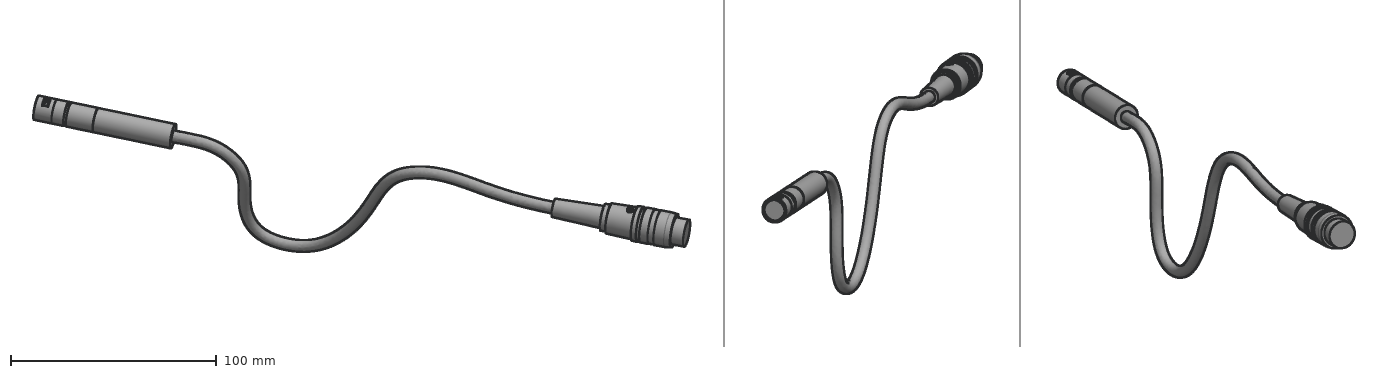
import cadquery as cq
import math

OVERALL_LENGTH = 327.8

PROBE_DIA = 12.0
PROBE_LENGTH = 68.8
TIP_LENGTH = 9.2
FACE_RECESS_DIA = 10.0
FACE_RECESS_DEPTH = 0.3
COLLAR_GROOVE_START = 15.0
COLLAR_GROOVE_WIDTH = 1.3
COLLAR_GROOVE_DIA = 11.0
SCORE_LINE_START = 29.8
SCORE_LINE_WIDTH = 0.15
SCORE_LINE_DIA = 11.8

WINDOW_CENTER_X = 5.0
WINDOW_LENGTH = 3.0
WINDOW_WIDTH = 5.0
WINDOW_DEPTH = 1.3
WINDOW_LEDGE = 0.5
WINDOW_STEP_DEPTH = 1.0

CABLE_DIA = 6.0

PLUG_START_Z = 6.0
PLUG_TILT = 1.5
BOOT_START_DIA = 9.2
BOOT_END_DIA = 11.0
BOOT_LENGTH = 25.0
NECK_DIA = 13.5
NECK_END = 28.0
BACK_SHELL_START_DIA = 15.0
BACK_SHELL_END_DIA = 16.0
BACK_SHELL_END = 41.0
SLEEVE_DIA = 17.5
RING_END = 43.5
RING_GROOVE_END = 45.2
RING_GROOVE_DIA = 16.0
GRIP_BAND_START = 49.5
GRIP_BAND_END = 52.5
GRIP_BAND_DIA = 17.0
SLEEVE_TAPER_START = 57.7
SLEEVE_END = 60.5
SLEEVE_END_DIA = 16.7
NOSE_DIA = 13.5
NOSE_END = 67.0

DOT_DIA = 3.0
DOT_DIMPLE_DIA = 1.48
DOT_CENTER = 38.5
DOT_HEIGHT = 0.3
DOT_ROLL = -7

TILT_RADIANS = math.radians(PLUG_TILT)
NOSE_REACH = NOSE_END * math.cos(TILT_RADIANS) + NOSE_DIA / 2 * math.sin(TILT_RADIANS)
PLUG_START_X = OVERALL_LENGTH - NOSE_REACH

CABLE_POINTS = [
    (PROBE_LENGTH, 0),
    (90.0, -1.5),
    (102.3, -12.8),
    (105.0, -37.7),
    (112.5, -58.0),
    (132.8, -61.5),
    (153.7, -46.5),
    (168.8, -18.5),
    (182.5, 6.0),
    (200.0, 12.8),
    (227.8, 9.0),
    (PLUG_START_X, PLUG_START_Z),
]


def turned(stations):
    """Solid of revolution about X from (position, diameter) stations."""
    outline = [(position, diameter / 2) for position, diameter in stations]
    closed_outline = [(stations[0][0], 0)] + outline + [(stations[-1][0], 0)]
    return cq.Workplane("XY").polyline(closed_outline).close().revolve(360, (0, 0, 0), (1, 0, 0))


def on_plug_axis(body):
    """Move a body turned about X onto the tilted axis of the plug."""
    tilted = body.rotate((0, 0, 0), (0, 1, 0), -PLUG_TILT)
    return tilted.translate((PLUG_START_X, 0, PLUG_START_Z))


def window_cut(length, width, depth):
    """Rectangular cutter that reaches a depth below the top of the probe."""
    floor_z = PROBE_DIA / 2 - depth
    return cq.Workplane("XY", origin=(WINDOW_CENTER_X, 0, floor_z)).rect(length, width).extrude(PROBE_DIA)


def make_tip():
    tip = turned([
        (FACE_RECESS_DEPTH, FACE_RECESS_DIA),
        (0, FACE_RECESS_DIA),
        (0, PROBE_DIA),
        (TIP_LENGTH, PROBE_DIA),
    ])
    opening = window_cut(WINDOW_LENGTH, WINDOW_WIDTH, WINDOW_DEPTH)
    step = window_cut(
        WINDOW_LENGTH - 2 * WINDOW_LEDGE,
        WINDOW_WIDTH - 2 * WINDOW_LEDGE,
        WINDOW_DEPTH + WINDOW_STEP_DEPTH,
    )
    return tip.cut(opening).cut(step)


def make_handle():
    collar_groove_end = COLLAR_GROOVE_START + COLLAR_GROOVE_WIDTH
    score_line_end = SCORE_LINE_START + SCORE_LINE_WIDTH
    return turned([
        (TIP_LENGTH, PROBE_DIA),
        (COLLAR_GROOVE_START, PROBE_DIA),
        (COLLAR_GROOVE_START, COLLAR_GROOVE_DIA),
        (collar_groove_end, COLLAR_GROOVE_DIA),
        (collar_groove_end, PROBE_DIA),
        (SCORE_LINE_START, PROBE_DIA),
        (SCORE_LINE_START, SCORE_LINE_DIA),
        (score_line_end, SCORE_LINE_DIA),
        (score_line_end, PROBE_DIA),
        (PROBE_LENGTH, PROBE_DIA),
    ])


def make_cable():
    points = [cq.Vector(x, 0, z) for x, z in CABLE_POINTS]
    start_direction = cq.Vector(1, 0, 0)
    end_direction = cq.Vector(math.cos(TILT_RADIANS), 0, math.sin(TILT_RADIANS))
    center_line = cq.Edge.makeSpline(points, tangents=[start_direction, end_direction], scale=False)
    section = cq.Workplane("YZ", origin=(PROBE_LENGTH, 0, 0)).circle(CABLE_DIA / 2)
    return section.sweep(cq.Workplane(center_line))


def make_boot():
    return on_plug_axis(turned([(0, BOOT_START_DIA), (BOOT_LENGTH, BOOT_END_DIA)]))


def make_marker_dot():
    """Marker dot before tilting, rolled slightly about the plug axis."""
    dot = (
        cq.Workplane("XY", origin=(DOT_CENTER, 0, 0))
        .circle(DOT_DIA / 2)
        .extrude(BACK_SHELL_END_DIA / 2 + DOT_HEIGHT)
    )
    dimple = (
        cq.Workplane("XY", origin=(DOT_CENTER, 0, BACK_SHELL_END_DIA / 2))
        .circle(DOT_DIMPLE_DIA / 2)
        .extrude(2 * DOT_HEIGHT)
    )
    return dot.cut(dimple).rotate((0, 0, 0), (1, 0, 0), DOT_ROLL)


def make_plug():
    shell = turned([
        (BOOT_LENGTH, NECK_DIA),
        (NECK_END, NECK_DIA),
        (NECK_END, BACK_SHELL_START_DIA),
        (BACK_SHELL_END, BACK_SHELL_END_DIA),
        (BACK_SHELL_END, SLEEVE_DIA),
        (RING_END, SLEEVE_DIA),
        (RING_END, RING_GROOVE_DIA),
        (RING_GROOVE_END, RING_GROOVE_DIA),
        (RING_GROOVE_END, SLEEVE_DIA),
        (GRIP_BAND_START, SLEEVE_DIA),
        (GRIP_BAND_START, GRIP_BAND_DIA),
        (GRIP_BAND_END, GRIP_BAND_DIA),
        (GRIP_BAND_END, SLEEVE_DIA),
        (SLEEVE_TAPER_START, SLEEVE_DIA),
        (SLEEVE_END, SLEEVE_END_DIA),
        (SLEEVE_END, NOSE_DIA),
        (NOSE_END, NOSE_DIA),
    ])
    return on_plug_axis(shell.union(make_marker_dot()))


tip = make_tip()
handle = make_handle()
cable = make_cable()
boot = make_boot()
plug = make_plug()

result = cq.Compound.makeCompound([
    tip.val(),
    handle.val(),
    cable.val(),
    boot.val(),
    plug.val(),
])